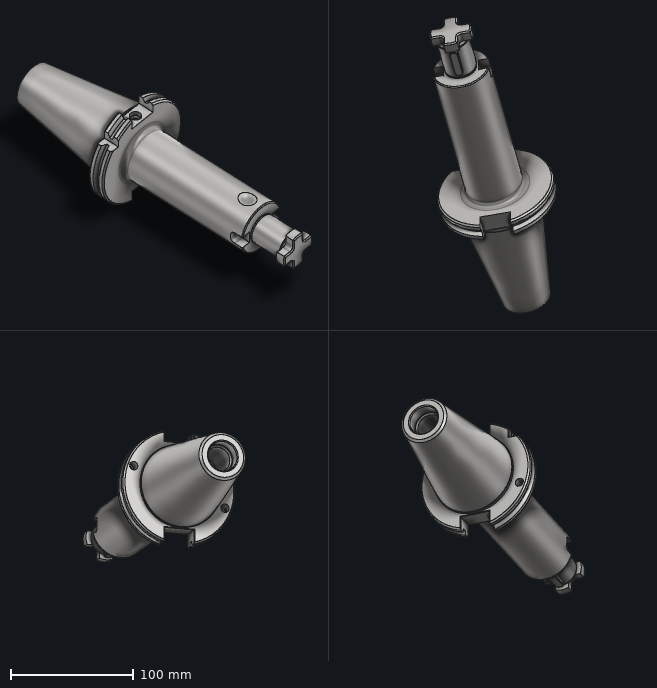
import cadquery as cq
import math


taper_length = 101.8
gauge_radius = 35.0
taper_ratio = 7 / 24
small_end_radius = gauge_radius - taper_length * taper_ratio / 2
end_chamfer_length = 1.5
end_chamfer_height = 2.0
collar_radius = 34.3

flange_start = 3.2
flange_end = 19.0
flange_diameter = 97.5
flange_radius = flange_diameter / 2
flange_chamfer = 1.5
groove_center = 11.0
groove_half_width = 3.2
groove_depth = 3.5
groove_flank_angle = 30
groove_floor_half_width = groove_half_width - groove_depth * math.tan(math.radians(groove_flank_angle))

slot_width = 25.5
upper_slot_floor = 37.8
lower_slot_floor = 35.2
notch_offset = 30.0
slot_edge_chamfer = 0.5
chip_pocket_radius = 5.0
chip_pocket_depth = 4.7
chip_hole_radius = 2.3
chip_hole_depth = 4.5
coolant_circle_radius = 42.2
coolant_angle = 20
coolant_mouth_radius = 3.5
coolant_mouth_depth = 10.2
coolant_hole_radius = 2.0
coolant_hole_depth = 3.0

shank_diameter = 48.0
shank_radius = shank_diameter / 2
shank_end = 148.3
shank_fillet = 5.0
shank_chamfer = 1.0
drive_slot_width = 12.0
drive_slot_length = 12.2
drive_slot_corner = 4.0
drive_slot_floor = 14.5
dimple_x = 133.5
dimple_ball_radius = 11.0
dimple_ball_height = 31.5

arbor_diameter = 27.0
arbor_radius = arbor_diameter / 2
arbor_length = 32.0
arbor_end = shank_end + arbor_length
arbor_chamfer_length = 1.0
arbor_chamfer_height = 0.3
relief_width = 1.5
relief_depth = 0.3

bore_mouth_radius = 13.5
pilot_radius = 12.5
pilot_depth = 11.0
thread_mouth_radius = 12.0
thread_radius = 10.5
thread_depth = 46.5
drill_tip_angle = 59
feed_radius = 5.0
feed_depth = 58.2
feed_end_radius = 3.8

key_start = 153.2
key_length = 25.0
key_width = 7.0
key_height = 7.0
key_bottom = -16.3
key_chamfer = 0.5

head_radius = 17.5
head_end = 189.0
head_chamfer = 1.2
lobe_half_width = 5.8
lobe_corner_fillet = 3.5


def revolved(points):
    """Solid of revolution about the X axis from an (x, radius) outline."""
    return cq.Workplane("XZ").polyline(points).close().revolve(360, (0, 0, 0), (1, 0, 0))


def box_between(x_range, y_range, z_range):
    """Axis-aligned box from its limits along X, Y and Z."""
    starts, ends = zip(x_range, y_range, z_range)
    sizes = [end - start for start, end in zip(starts, ends)]
    return cq.Workplane("XY").box(*sizes, centered=False).translate(starts)


def taper_body():
    chamfer_end = end_chamfer_length - taper_length
    chamfer_end_radius = small_end_radius + end_chamfer_length * taper_ratio / 2
    return revolved([
        (-taper_length, 0),
        (-taper_length, small_end_radius - end_chamfer_height),
        (chamfer_end, chamfer_end_radius),
        (0, gauge_radius),
        (0, collar_radius),
        (flange_start, collar_radius),
        (flange_start, 0),
    ])


def flange_body():
    groove_floor = flange_radius - groove_depth
    return revolved([
        (flange_start, 0),
        (flange_start, flange_radius - flange_chamfer),
        (flange_start + flange_chamfer, flange_radius),
        (groove_center - groove_half_width, flange_radius),
        (groove_center - groove_floor_half_width, groove_floor),
        (groove_center + groove_floor_half_width, groove_floor),
        (groove_center + groove_half_width, flange_radius),
        (flange_end - flange_chamfer, flange_radius),
        (flange_end, flange_radius - flange_chamfer),
        (flange_end, 0),
    ])


def shank_body():
    """Shank with a concave fillet that runs out into the flange face."""
    fillet_middle = shank_fillet * (1 - math.sqrt(0.5))
    outline = (
        cq.Workplane("XZ")
        .moveTo(flange_end, 0)
        .lineTo(flange_end, shank_radius + shank_fillet)
        .threePointArc(
            (flange_end + fillet_middle, shank_radius + fillet_middle),
            (flange_end + shank_fillet, shank_radius),
        )
        .lineTo(shank_end - shank_chamfer, shank_radius)
        .lineTo(shank_end, shank_radius - shank_chamfer)
        .lineTo(shank_end, 0)
        .close()
    )
    return outline.revolve(360, (0, 0, 0), (1, 0, 0))


def arbor_body():
    relief_radius = arbor_radius - relief_depth
    return revolved([
        (shank_end, 0),
        (shank_end, relief_radius),
        (shank_end + relief_width, relief_radius),
        (shank_end + relief_width, arbor_radius),
        (arbor_end - arbor_chamfer_length, arbor_radius),
        (arbor_end, arbor_radius - arbor_chamfer_height),
        (arbor_end, 0),
    ])


def bore_cutter():
    """Pilot, thread core with a countersunk mouth, drill point and feed hole, from the small end inwards."""
    start = -taper_length
    tip_length = (thread_radius - feed_radius) / math.tan(math.radians(drill_tip_angle))
    mouth_chamfer = bore_mouth_radius - pilot_radius
    feed_step = feed_radius - feed_end_radius
    return revolved([
        (start, 0),
        (start, bore_mouth_radius),
        (start + mouth_chamfer, pilot_radius),
        (start + pilot_depth, pilot_radius),
        (start + pilot_depth, thread_mouth_radius),
        (start + pilot_depth + thread_mouth_radius - thread_radius, thread_radius),
        (start + thread_depth, thread_radius),
        (start + thread_depth + tip_length, feed_radius),
        (start + feed_depth - feed_step, feed_radius),
        (start + feed_depth, feed_end_radius),
        (start + feed_depth, 0),
    ])


def flange_slot_cutter(y_range, z_range):
    """Slot through the flange along X, with chamfered edges on the rear flange face."""
    (y_start, y_end), (z_start, z_end) = y_range, z_range
    chamfer = (
        cq.Workplane("YZ")
        .center((y_start + y_end) / 2, (z_start + z_end) / 2)
        .rect(y_end - y_start + 2 * slot_edge_chamfer, z_end - z_start + 2 * slot_edge_chamfer)
        .extrude(slot_edge_chamfer, taper=45)
        .translate((flange_start, 0, 0))
    )
    return box_between((flange_start, flange_end), y_range, z_range).union(chamfer)


def flange_slot_cutters():
    """Two driving slots of unequal depth and the square corner notch."""
    slot_range = (-slot_width / 2, slot_width / 2)
    upper_slot = flange_slot_cutter(slot_range, (upper_slot_floor, flange_radius))
    lower_slot = flange_slot_cutter(slot_range, (-flange_radius, -lower_slot_floor))
    notch = flange_slot_cutter((-flange_radius, -notch_offset), (notch_offset, flange_radius))
    return [upper_slot, lower_slot, notch]


def stepped_hole(mouth_radius, mouth_depth, hole_radius, hole_depth, position, direction):
    """Cutter for a wide mouth followed by a narrower blind hole."""
    start = cq.Vector(*position)
    axis = cq.Vector(*direction)
    mouth = cq.Solid.makeCylinder(mouth_radius, mouth_depth, start, axis)
    hole = cq.Solid.makeCylinder(hole_radius, mouth_depth + hole_depth, start, axis)
    return cq.Workplane(mouth).union(cq.Workplane(hole))


def chip_hole_cutter():
    return stepped_hole(
        chip_pocket_radius, chip_pocket_depth, chip_hole_radius, chip_hole_depth,
        (groove_center, 0, upper_slot_floor), (0, 0, -1),
    )


def coolant_hole_cutter(side):
    """Hole in the rear flange face that grazes the groove floor; side is +1 or -1."""
    angle = math.radians(coolant_angle)
    hole_y = side * coolant_circle_radius * math.cos(angle)
    hole_z = side * coolant_circle_radius * math.sin(angle)
    return stepped_hole(
        coolant_mouth_radius, coolant_mouth_depth, coolant_hole_radius, coolant_hole_depth,
        (flange_start, hole_y, hole_z), (1, 0, 0),
    )


def drive_slot_cutter(side):
    """Slot in the shank end, open towards +X and outwards; side is +1 or -1 along Y."""
    slot_start = shank_end - drive_slot_length
    outer_y = side * shank_radius
    floor_y = side * drive_slot_floor
    slot = box_between(
        (slot_start, shank_end),
        (min(outer_y, floor_y), max(outer_y, floor_y)),
        (-drive_slot_width / 2, drive_slot_width / 2),
    )
    return slot.edges("|Y and <X").fillet(drive_slot_corner)


def dimple_cutter():
    return cq.Workplane("XY").sphere(dimple_ball_radius).translate((dimple_x, 0, dimple_ball_height))


def key_blank():
    """Key with round ends, lying along X with its outer face downwards."""
    return (
        cq.Workplane("XY")
        .slot2D(key_length, key_width)
        .extrude(key_height)
        .translate((key_start + key_length / 2, 0, key_bottom))
    )


def make_key():
    return key_blank().faces("<Z").edges().chamfer(key_chamfer)


def make_holder():
    body = taper_body().union(flange_body()).union(shank_body()).union(arbor_body())
    cutters = [bore_cutter(), *flange_slot_cutters(), chip_hole_cutter(), dimple_cutter(), key_blank()]
    for side in (1, -1):
        cutters.append(coolant_hole_cutter(side))
        cutters.append(drive_slot_cutter(side))
    for cutter in cutters:
        body = body.cut(cutter)
    return body


def make_clamping_head():
    """Disc with four corner gaps that leave lobes along +Y, -Y, +Z and -Z."""
    length = head_end - arbor_end
    head = cq.Workplane("YZ").circle(head_radius).extrude(length)
    gap_size = head_radius
    gap_center = lobe_half_width + gap_size / 2
    gap = cq.Workplane("YZ").center(gap_center, gap_center).rect(gap_size, gap_size).extrude(length)
    gap = gap.edges("|X").edges("<Y and <Z").fillet(lobe_corner_fillet)
    for quarter in range(4):
        head = head.cut(gap.rotate((0, 0, 0), (1, 0, 0), 90 * quarter))
    head = head.faces(">X").edges().chamfer(head_chamfer)
    return head.translate((arbor_end, 0, 0))


holder = make_holder()
key = make_key()
clamping_head = make_clamping_head()

result = cq.Compound.makeCompound([
    holder.solids().val(),
    key.solids().val(),
    clamping_head.solids().val(),
])